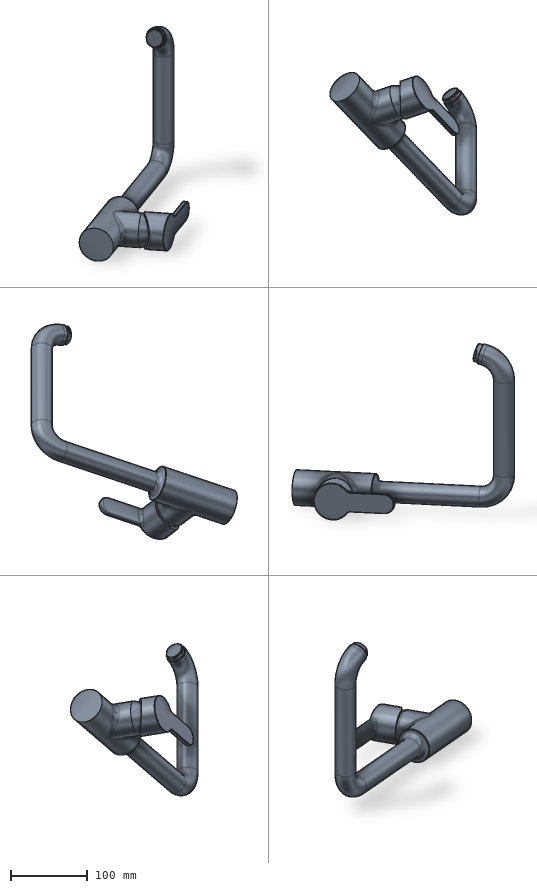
import cadquery as cq
import math

body_radius = 23.5
body_length = 106.5
body_edge_chamfer = 0.5

collar_radius = 21.5
collar_height = 8.0

pipe_radius = 13.7
spout_reach = 292.5
lower_bend_radius = 30.5
upper_bend_radius = 34.2
upper_bend_start = 155.3
upper_bend_angle = 75.0
outlet_length = 5.5
riser_y = spout_reach - pipe_radius

nozzle_radius = 12.3
nozzle_length = 7.0
nozzle_chamfer = 1.2
nozzle_flat_spacing = 21.5
nozzle_flat_width = 10.2
nozzle_flat_length = 3.0

branch_radius = 22.8
branch_height = 55.3
branch_tilt = 9.0
branch_length = 41.5
branch_fillet = 6.5

neck_taper = 18.0
neck_length = 16.0

cap_radius = 24.5
cap_start = 45.0
outer_face_x = 78.0
trim_allowance = 8.8
untrimmed_x = outer_face_x + trim_allowance
outer_edge_chamfer = 0.5

relief_offset = 1.5
relief_slope = 25.0

lever_tip_y = 150.0
lever_half_width = 13.0
lever_edge_thickness = 5.5
lever_thickness = 8.2
lever_root_fillet = 4.7
lever_tip_fillet = 2.0
lever_straight_end_y = lever_tip_y - lever_half_width
lever_root_y = branch_height + outer_face_x * math.tan(math.radians(branch_tilt))


def along_branch(distance):
    """Plane square to the branch axis: local X is the tilted +Y direction, local Y is +Z."""
    tilt = math.radians(branch_tilt)
    axis = cq.Vector(math.cos(tilt), math.sin(tilt), 0)
    origin = cq.Vector(0, branch_height, 0) + axis * distance
    return cq.Plane(origin=origin, xDir=(-math.sin(tilt), math.cos(tilt), 0), normal=axis)


def make_body_with_branch():
    body = cq.Workplane("XZ").circle(body_radius).extrude(-body_length)
    body = body.faces(">Y").edges().chamfer(body_edge_chamfer)
    branch = cq.Workplane(along_branch(0)).circle(branch_radius).extrude(branch_length)
    return body.union(branch).edges("not(%LINE or %CIRCLE)").fillet(branch_fillet)


def make_collar():
    top = body_length + collar_height
    quarter_middle = math.sin(math.pi / 4)
    flank_middle = (
        collar_radius - (collar_radius - pipe_radius) * quarter_middle,
        top - collar_height * quarter_middle,
    )
    return (
        cq.Workplane("XY")
        .moveTo(0, body_length)
        .lineTo(collar_radius, body_length)
        .threePointArc(flank_middle, (pipe_radius, top))
        .lineTo(0, top)
        .close()
        .revolve(360, (0, 0, 0), (0, 1, 0))
    )


def upper_bend_point(angle):
    """Point (Y, Z) on the centre line of the upper bend."""
    return (
        riser_y - upper_bend_radius * (1 - math.cos(angle)),
        upper_bend_start + upper_bend_radius * math.sin(angle),
    )


def make_spout():
    turn = math.radians(upper_bend_angle)
    bend_end_y, bend_end_z = upper_bend_point(turn)
    outlet_y = bend_end_y - outlet_length * math.sin(turn)
    outlet_z = bend_end_z + outlet_length * math.cos(turn)
    pipe_start = body_length / 2
    path = (
        cq.Workplane("YZ")
        .moveTo(pipe_start, 0)
        .lineTo(riser_y - lower_bend_radius, 0)
        .radiusArc((riser_y, lower_bend_radius), -lower_bend_radius)
        .lineTo(riser_y, upper_bend_start)
        .threePointArc(upper_bend_point(turn / 2), (bend_end_y, bend_end_z))
        .lineTo(outlet_y, outlet_z)
    )
    pipe = cq.Workplane("XZ", origin=(0, pipe_start, 0)).circle(pipe_radius).sweep(path)
    outlet_plane = cq.Plane(
        origin=(0, outlet_y, outlet_z),
        xDir=(1, 0, 0),
        normal=(0, -math.sin(turn), math.cos(turn)),
    )
    return pipe.union(make_nozzle(outlet_plane))


def make_nozzle(outlet_plane):
    nozzle = cq.Workplane(outlet_plane).circle(nozzle_radius).extrude(nozzle_length)
    nozzle = nozzle.faces("<Y").edges().chamfer(nozzle_chamfer)
    block_x = (nozzle_flat_spacing + nozzle_radius) / 2
    flats = (
        cq.Workplane(outlet_plane)
        .workplane(offset=nozzle_length - nozzle_flat_length)
        .pushPoints([(block_x, 0), (-block_x, 0)])
        .rect(nozzle_radius, nozzle_flat_width)
        .extrude(nozzle_flat_length)
    )
    return nozzle.cut(flats)


def make_neck():
    base = cq.Workplane(along_branch(branch_length)).circle(branch_radius)
    return base.extrude(neck_length, taper=neck_taper)


def make_untrimmed_cap():
    start_plane = along_branch(cap_start)
    cap = cq.Workplane(start_plane).circle(cap_radius).extrude(untrimmed_x - cap_start)
    side_plane = cq.Plane(origin=start_plane.origin, xDir=start_plane.zDir, normal=(0, 0, 1))
    relief_depth = (cap_radius + relief_offset) * math.tan(math.radians(relief_slope))
    relief = (
        cq.Workplane(side_plane)
        .polyline([(0, relief_offset), (relief_depth, -cap_radius), (0, -cap_radius)])
        .close()
        .extrude(cap_radius, both=True)
    )
    return cap.cut(relief)


def make_untrimmed_lever():
    edge_x = outer_face_x - lever_edge_thickness
    blade = (
        cq.Workplane("XZ", origin=(0, lever_root_y, 0))
        .moveTo(untrimmed_x, -lever_half_width)
        .lineTo(edge_x, -lever_half_width)
        .threePointArc((outer_face_x - lever_thickness, 0), (edge_x, lever_half_width))
        .lineTo(untrimmed_x, lever_half_width)
        .close()
        .extrude(lever_root_y - lever_tip_y)
    )
    outline = (
        cq.Workplane("YZ")
        .moveTo(lever_root_y, -lever_half_width)
        .lineTo(lever_straight_end_y, -lever_half_width)
        .threePointArc((lever_tip_y, 0), (lever_straight_end_y, lever_half_width))
        .lineTo(lever_root_y, lever_half_width)
        .close()
        .extrude(untrimmed_x)
    )
    inner_tip_edge = cq.selectors.BoxSelector(
        (0, (lever_straight_end_y + lever_tip_y) / 2, -cap_radius),
        (outer_face_x, lever_tip_y, cap_radius),
    )
    return blade.intersect(outline).edges(inner_tip_edge).fillet(lever_tip_fillet)


def make_cap_with_lever():
    handle = make_untrimmed_cap().union(make_untrimmed_lever())
    root_region = cq.selectors.BoxSelector(
        (0, lever_root_y, -cap_radius),
        (outer_face_x, (lever_root_y + lever_straight_end_y) / 2, cap_radius),
    )
    handle = handle.edges(root_region).edges("%BSPLINE").fillet(lever_root_fillet)
    beyond_outer_face = (
        cq.Workplane("YZ", origin=(outer_face_x, 0, 0))
        .rect(2 * spout_reach, 2 * spout_reach)
        .extrude(untrimmed_x)
    )
    return handle.cut(beyond_outer_face).faces(">X").edges().chamfer(outer_edge_chamfer)


result = (
    make_body_with_branch()
    .union(make_collar())
    .union(make_spout())
    .union(make_neck())
    .union(make_cap_with_lever())
)